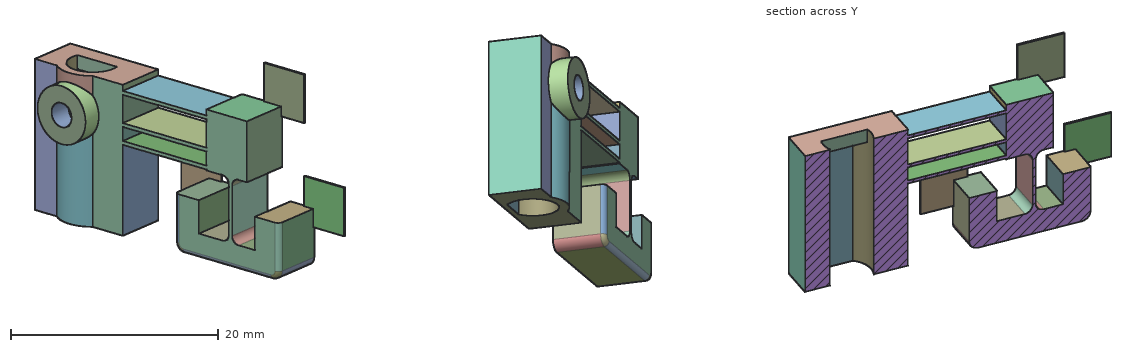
import cadquery as cq
import math

depth = 5.4
top_z = 15.6

block_width = 11.0
bore_x = 5.0
bore_radius = 2.55
bore_y = -2.65
bore_wall = 1.0
bore_flat_y = -0.62
lip_edge_y = -2.0
lip_thickness = 1.45

boss_diameter = 6.0
boss_hole_diameter = 2.5
boss_front_y = -7.4
boss_axis_below_top = 4.0
boss_z = top_z - boss_axis_below_top

flexure_thickness = 0.4
beam_length = 10.45
beam_centers_z = (14.77, 11.45, 9.6)
head_width = 5.05
head_bottom_z = 9.3
head_left = block_width + beam_length

stem_x = 24.45
stem_flare_radius = 0.8

foot_width = 13.0
foot_height = 6.0
foot_arm_width = 3.0
foot_floor = 2.55
foot_left = 17.5
foot_corner_radius = 1.0
foot_front_fillet = 0.5

tab_size = 5.0
tab_thickness = 0.2
tab_corners = ((24.34, 14.57), (14.0, 3.04), (29.34, 4.1))


def box(x, z, width, height, thickness=depth):
    """Box reaching forward from the back face, with its lower left corner at (x, z)."""
    return cq.Workplane("XY").box(width, thickness, height, centered=False).translate((x, -thickness, z))


def bore_section(bottom_z, height, flat_y):
    """Length of vertical bore, cut off flat on its back side at flat_y."""
    cylinder = cq.Workplane("XY", origin=(bore_x, bore_y, bottom_z)).circle(bore_radius).extrude(height)
    back_space = box(0, bottom_z, block_width, height, -flat_y)
    return cylinder.cut(back_space)


def cross_cylinder(diameter):
    """Cylinder along Y, from the boss front to the bore axis."""
    plane = cq.Workplane("XZ", origin=(bore_x, bore_y, boss_z))
    return plane.circle(diameter / 2).extrude(bore_y - boss_front_y)


def clamp_block():
    """Block with a round bulge around the bore and a screw boss leading into the bore."""
    bulge = cq.Workplane("XY").center(bore_x, bore_y).circle(bore_radius + bore_wall).extrude(top_z)
    bulge = bulge.intersect(box(0, 0, block_width, top_z, -boss_front_y))
    body = box(0, 0, block_width, top_z).union(bulge).union(cross_cylinder(boss_diameter))
    lip_bottom_z = top_z - lip_thickness
    body = body.cut(bore_section(0, lip_bottom_z, bore_flat_y))
    body = body.cut(bore_section(lip_bottom_z, lip_thickness, lip_edge_y))
    return body.cut(cross_cylinder(boss_hole_diameter))


def stem():
    """Thin vertical web that flares into the head above and the foot below."""
    half_width = flexure_thickness / 2
    radius = stem_flare_radius
    arc_midpoint = radius * (1 - math.sqrt(0.5))
    left = stem_x - half_width
    right = stem_x + half_width
    low_z = foot_floor
    high_z = head_bottom_z
    return (
        cq.Workplane("XZ")
        .moveTo(left - radius, low_z)
        .lineTo(right + radius, low_z)
        .threePointArc((right + arc_midpoint, low_z + arc_midpoint), (right, low_z + radius))
        .lineTo(right, high_z - radius)
        .threePointArc((right + arc_midpoint, high_z - arc_midpoint), (right + radius, high_z))
        .lineTo(left - radius, high_z)
        .threePointArc((left - arc_midpoint, high_z - arc_midpoint), (left, high_z - radius))
        .lineTo(left, low_z + radius)
        .threePointArc((left - arc_midpoint, low_z + arc_midpoint), (left - radius, low_z))
        .close()
        .extrude(depth)
    )


def foot():
    """U-shaped foot with rounded lower corners and a rounded front rim, open at the top."""
    body = box(foot_left, 0, foot_width, foot_height)
    body = body.edges("|Y and <Z").fillet(foot_corner_radius)
    rim_probe = (foot_left + foot_width / 2, -depth, 0)
    body = body.edges(cq.selectors.NearestToPointSelector(rim_probe)).fillet(foot_front_fillet)
    gap_width = foot_width - 2 * foot_arm_width
    return body.cut(box(foot_left + foot_arm_width, foot_floor, gap_width, foot_height - foot_floor))


def beams():
    """Three thin horizontal flexures between the clamp block and the head."""
    group = cq.Workplane("XY")
    for center_z in beam_centers_z:
        bottom_z = center_z - flexure_thickness / 2
        group = group.union(box(block_width, bottom_z, beam_length, flexure_thickness))
    return group


def head():
    """Rectangular block at the free end of the beams."""
    return box(head_left, head_bottom_z, head_width, top_z - head_bottom_z)


def add_tabs(body):
    """Join the thin square tabs to the head and the foot."""
    for tab_x, tab_z in tab_corners:
        body = body.union(box(tab_x, tab_z, tab_size, tab_size, tab_thickness))
    return body


flexure = clamp_block().union(beams()).union(head()).union(stem()).union(foot())
result = add_tabs(flexure)